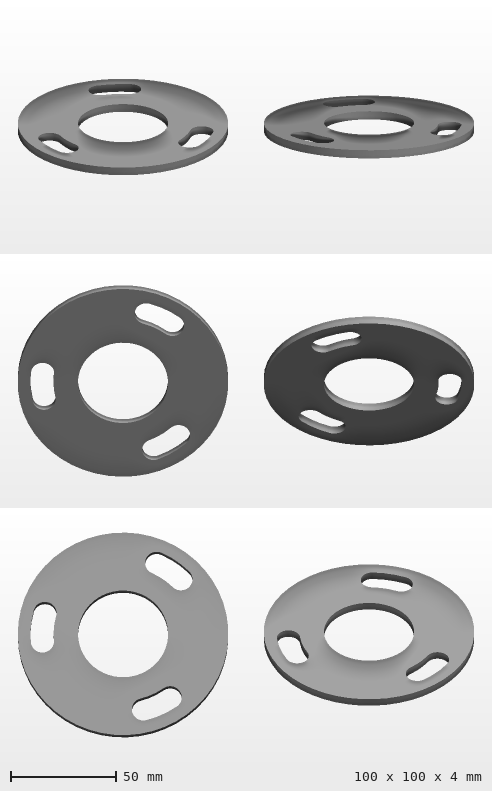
import cadquery as cq
import math

disc_diameter = 100.0
thickness = 4.0
bore_diameter = 42.8

slot_count = 3
slot_pitch_radius = 38.5
slot_width = 11.0
slot_half_angle = 10.5
first_slot_angle = 30.0


def polar(radius, angle):
    """Point at a radius and an angle in degrees about the disc centre."""
    return (
        radius * math.cos(math.radians(angle)),
        radius * math.sin(math.radians(angle)),
    )


def curved_slot(middle_angle):
    """Solid filling one round-ended slot concentric with the disc."""
    inner_radius = slot_pitch_radius - slot_width / 2
    outer_radius = slot_pitch_radius + slot_width / 2
    start = middle_angle - slot_half_angle
    end = middle_angle + slot_half_angle

    def cap_tip(angle, side):
        """Tip of a rounded end; side is 1 counterclockwise, -1 clockwise."""
        x, y = polar(slot_pitch_radius, angle)
        direction = math.radians(angle + side * 90)
        return (
            x + slot_width / 2 * math.cos(direction),
            y + slot_width / 2 * math.sin(direction),
        )

    return (
        cq.Workplane("XY")
        .moveTo(*polar(outer_radius, start))
        .threePointArc(polar(outer_radius, middle_angle), polar(outer_radius, end))
        .threePointArc(cap_tip(end, 1), polar(inner_radius, end))
        .threePointArc(polar(inner_radius, middle_angle), polar(inner_radius, start))
        .threePointArc(cap_tip(start, -1), polar(outer_radius, start))
        .close()
        .extrude(thickness)
    )


result = (
    cq.Workplane("XY")
    .circle(disc_diameter / 2)
    .circle(bore_diameter / 2)
    .extrude(thickness)
)
for index in range(slot_count):
    result = result.cut(curved_slot(first_slot_angle + index * 360 / slot_count))